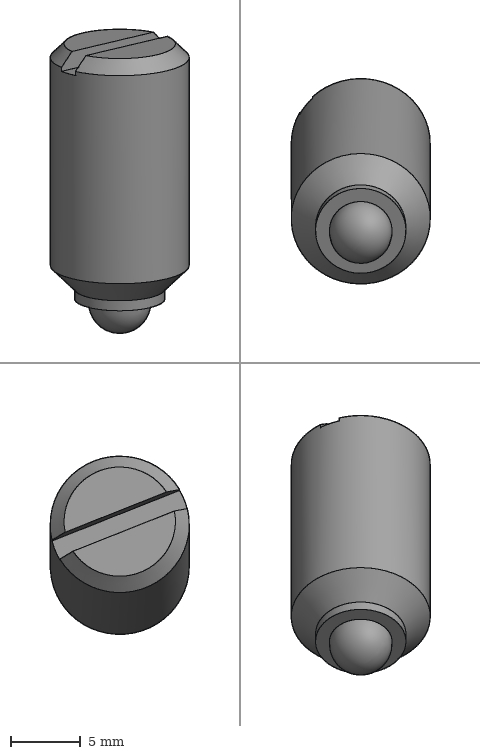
import cadquery as cq
import math

body_diameter = 10.0
collar_diameter = 6.5
pin_diameter = 4.5

body_length = 19.0
pin_protrusion = 2.5
collar_length = 0.75
top_chamfer = 1.0

slot_width = 1.5
slot_depth = 1.3

body_radius = body_diameter / 2
collar_radius = collar_diameter / 2
pin_radius = pin_diameter / 2

collar_top = collar_length
cone_top = collar_top + body_radius - collar_radius
nose_center = pin_radius - pin_protrusion


def make_plunger():
    """Revolve the half profile of the body, collar and hemispherical pin."""
    nose_mid = pin_radius * math.sqrt(0.5)
    return (
        cq.Workplane("XZ")
        .moveTo(0, body_length)
        .lineTo(body_radius - top_chamfer, body_length)
        .lineTo(body_radius, body_length - top_chamfer)
        .lineTo(body_radius, cone_top)
        .lineTo(collar_radius, collar_top)
        .lineTo(collar_radius, 0)
        .lineTo(pin_radius, 0)
        .lineTo(pin_radius, nose_center)
        .threePointArc((nose_mid, nose_center - nose_mid), (0, -pin_protrusion))
        .close()
        .revolve(360, (0, 0, 0), (0, 1, 0))
    )


def make_slot():
    """Screwdriver slot running along Y through the whole top face."""
    return (
        cq.Workplane("XY")
        .workplane(offset=body_length - slot_depth)
        .rect(slot_width, body_diameter)
        .extrude(slot_depth)
    )


result = make_plunger().cut(make_slot())